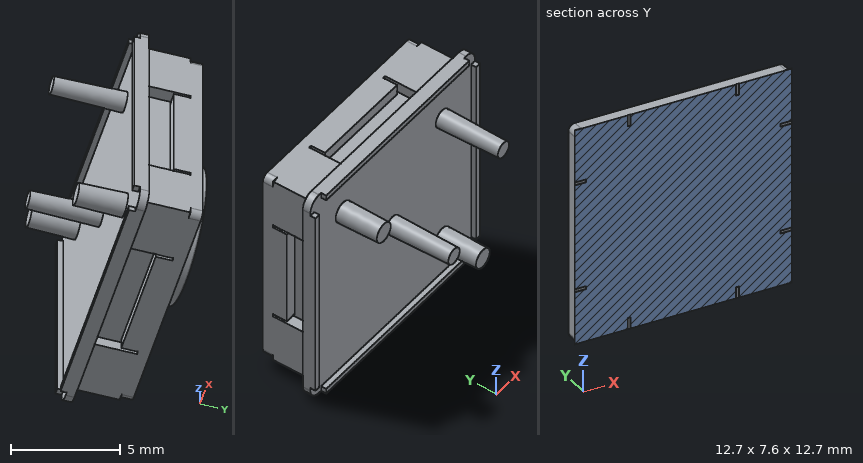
import cadquery as cq

flange_side = 12.65
flange_corner_radius = 0.67
body_side = 11.4
cover_corner_radius = 0.34
button_diameter = 6.62
button_edge_radius = 0.1

flange_back = 0.43
tab_end = 1.8
cover_front = 2.59
cover_back = 3.18
button_back = 4.11

rib_length = 11
rib_width = 0.3
rib_height = 0.29

recess_width = 5.82
recess_depth = 0.6
tab_width = 5.54

pin_taper_angle = 1
thick_pin = (1.15, 2.31)
thin_pin = (1.0, 3.49)
pin_offset = 3.81
pins = [
    (-pin_offset, pin_offset, thick_pin),
    (pin_offset, -pin_offset, thick_pin),
    (pin_offset, pin_offset, thin_pin),
    (0, 0, thin_pin),
]


def plane_at(y, z=0):
    """Sketch plane whose normal is +Y, with local axes Z and X."""
    return cq.Workplane(cq.Plane(origin=(0, y, z), xDir=(0, 0, 1), normal=(0, 1, 0)))


def square_plate(side, y_start, y_end):
    return plane_at(y_start).rect(side, side).extrude(y_end - y_start)


def edge_block(width, depth, outer_side, y_start, y_end):
    """Block lying inside the top (+Z) edge of a square of the given side."""
    center_z = (outer_side - depth) / 2
    return plane_at(y_start, z=center_z).rect(depth, width).extrude(y_end - y_start)


def on_four_sides(block):
    """Copies of a top-edge block on all four sides."""
    copies = block
    for quarter_turn in (90, 180, 270):
        copies = copies.union(block.rotate((0, 0, 0), (0, 1, 0), quarter_turn))
    return copies


def pin(x, z, base_diameter, length):
    """Pin pointing towards -Y from the flange face."""
    front_plane = cq.Plane(origin=(x, 0, z), xDir=(1, 0, 0), normal=(0, -1, 0))
    return cq.Workplane(front_plane).circle(base_diameter / 2).extrude(length, taper=pin_taper_angle)


flange = square_plate(flange_side, 0, flange_back).edges("|Y").fillet(flange_corner_radius)
ribs = on_four_sides(edge_block(rib_length, rib_width, flange_side, -rib_height, 0))

recesses = on_four_sides(edge_block(recess_width, recess_depth, body_side, flange_back, cover_front))
body = square_plate(body_side, flange_back, cover_front).cut(recesses)

cover = square_plate(body_side, cover_front, cover_back).edges("|Y").fillet(cover_corner_radius)
tabs = on_four_sides(edge_block(tab_width, recess_depth, body_side, tab_end, cover_front))

button = plane_at(cover_back).circle(button_diameter / 2).extrude(button_back - cover_back)
button = button.faces(">Y").edges().fillet(button_edge_radius)

result = flange.union(ribs).union(body).union(cover).union(tabs).union(button)
for x, z, (base_diameter, length) in pins:
    result = result.union(pin(x, z, base_diameter, length))